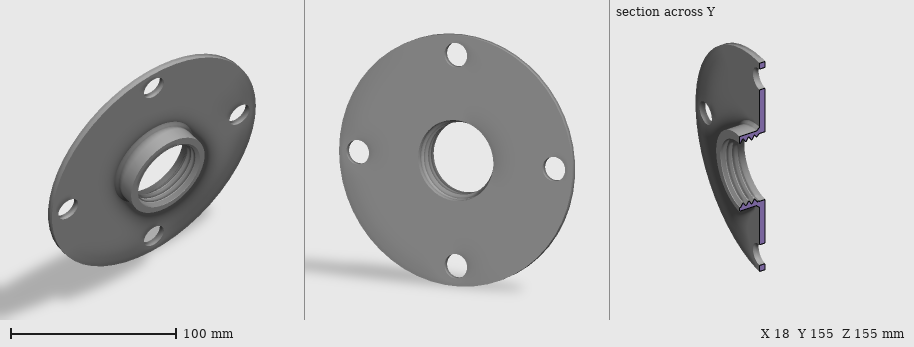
import cadquery as cq
import math

plate_diameter = 155.0
plate_thickness = 4.0
bolt_circle_radius = 65.1
bolt_hole_diameter = 15.0
bolt_hole_count = 4

total_length = 18.0
hub_radius = 27.9
weld_size = 2.0

root_radius = 25.0
crest_radius = 22.2
lead_in_end = plate_thickness + root_radius - crest_radius

thread_pitch = 4.0
thread_flank_angle = 30.0
crest_flat = 0.5
thread_start_angle = 60.0
thread_overrun = thread_pitch
root_overlap = 0.2
trim_clearance = 1.5


def revolve_about_x(section):
    """Revolve a closed outline of (x, radius) points about the X axis."""
    return cq.Workplane("XY").polyline(section).close().revolve(360, (0, 0, 0), (1, 0, 0))


def make_body():
    """Plate, weld bead and hub with the plain bore."""
    return revolve_about_x([
        (0, root_radius),
        (0, plate_diameter / 2),
        (plate_thickness, plate_diameter / 2),
        (plate_thickness, hub_radius + weld_size),
        (plate_thickness + weld_size, hub_radius),
        (total_length, hub_radius),
        (total_length, root_radius),
    ])


def make_bolt_holes():
    return (
        cq.Workplane("YZ")
        .polarArray(bolt_circle_radius, 0, 360, bolt_hole_count)
        .circle(bolt_hole_diameter / 2)
        .extrude(plate_thickness)
    )


def make_ridge():
    """Helical ridge, longer than the hub, rooted slightly inside the bore wall."""
    base_radius = root_radius + root_overlap
    crest_half = crest_flat / 2
    base_half = crest_half + (base_radius - crest_radius) * math.tan(math.radians(thread_flank_angle))
    corners = [
        (base_radius, -base_half),
        (crest_radius, -crest_half),
        (crest_radius, crest_half),
        (base_radius, base_half),
    ]
    helix_length = total_length + 2 * thread_overrun
    edges = [
        cq.Wire.makeHelix(thread_pitch, helix_length, radius, center=cq.Vector(0, 0, offset))
        for radius, offset in corners
    ]
    faces = [cq.Face.makeRuledSurface(edges[i - 1], edges[i]) for i in range(len(edges))]
    end_caps = [
        cq.Face.makeFromWires(cq.Wire.makePolygon([edge.positionAt(end) for edge in edges], close=True))
        for end in (0, 1)
    ]
    ridge = cq.Solid.makeSolid(cq.Shell.makeShell(faces + end_caps))
    return (
        cq.Workplane(obj=ridge)
        .rotate((0, 0, 0), (0, 0, 1), thread_start_angle)
        .rotate((0, 0, 0), (0, 1, 0), 90)
        .translate((-thread_overrun, 0, 0))
    )


def make_thread_envelope():
    """Space the thread may fill: the hub bore, opened by a 45 degree lead-in cone."""
    inner_radius = crest_radius - trim_clearance
    outer_radius = root_radius + trim_clearance
    return revolve_about_x([
        (plate_thickness - trim_clearance, outer_radius),
        (lead_in_end + trim_clearance, inner_radius),
        (total_length, inner_radius),
        (total_length, outer_radius),
    ])


thread = make_ridge().intersect(make_thread_envelope())
result = make_body().cut(make_bolt_holes()).union(thread)